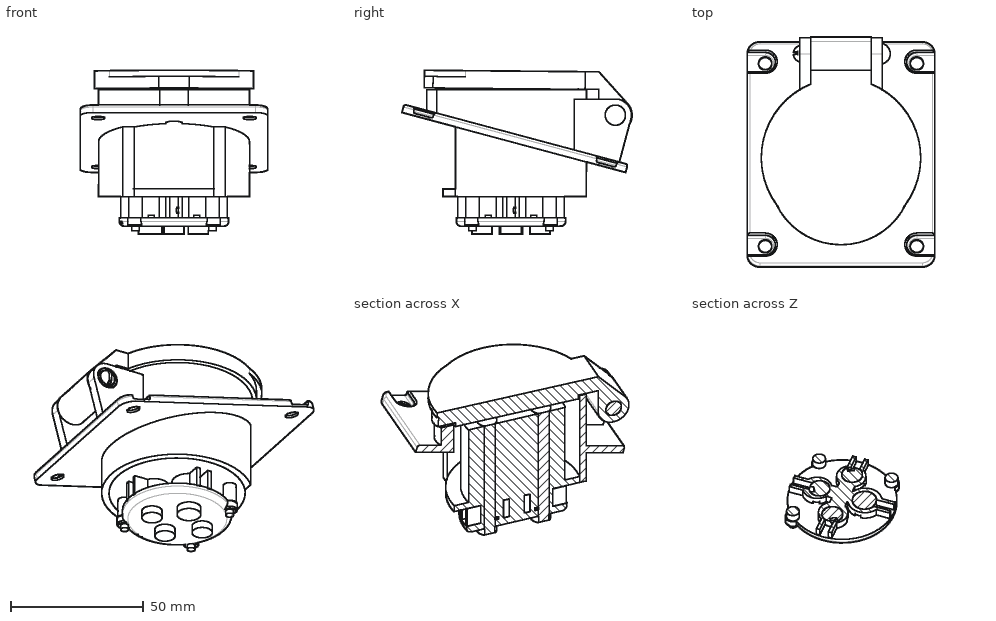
import cadquery as cq
import math


barrel_radius = 28.5
barrel_wall = 2.8
bore_radius = barrel_radius - barrel_wall
barrel_top = 40.5
barrel_flat_y = -21.0
keyway_radius = 5.7
keyway_y = -26.1
keyway_wall = 2.6

flange_tilt = 15.0
flange_width = 71.0
flange_length = 87.5
flange_thickness = 3.2
flange_corner_radius = 4.9
flange_edge_fillet = 1.0
flange_center_y = 1.05
flange_center_z = 20.45
mount_hole_diameter = 5.0
mount_hole_x = 28.6
mount_hole_v = 35.8
mount_pocket_radius = 3.8
mount_pocket_floor = 1.0
mount_pocket_flare = 0.7
mount_pocket_fillet = 0.7

hinge_y = 39.4
hinge_z = 30.8
ear_inner_x = 11.4
ear_outer_x = 15.7
ear_radius = 6.1
leaf_radius = 6.35
pin_diameter = 6.1
pin_button_diameter = 7.7
pin_button_height = 3.0
pin_tip_height = 2.35
pin_slot_width = 1.05
pin_slot_depth = 1.7
pin_slot_angle = 7.0
tip_hole_diameter = 6.8
tip_recess_diameter = 8.35
tip_recess_depth = 0.6

lid_open_angle = 0.5
lid_radius = 30.1
lid_thickness = 6.7
lid_bottom = barrel_top
lid_top = lid_bottom + lid_thickness
lid_front_y = -32.9
lid_lip_thickness = 2.35
lid_lip_corner_x = 24.5
lid_bump_radius = 6.5
lid_plug_radius = 25.2
lid_plug_depth = 1.7

insert_radius = 20.0
insert_top = 36.55
insert_flange_thickness = 3.0
base_radius = 20.7
base_top = -8.0
base_thickness = 3.2
base_bottom = base_top - base_thickness
base_fillet = 2.0
rib_reach = 20.2
rib_width = 6.3
rib_slot_width = 3.3
undercut_size = 19.5
undercut_inner_size = 14.8
undercut_height = 1.0
post_offset = 14.5
post_diameter = 5.0
lobe_diameter = 5.7
lobe_chamfer = 0.5
lobe_rise = 0.1
peg_diameter = 3.0
peg_length = 1.65
post_places = [
    (-post_offset, -post_offset),
    (post_offset, -post_offset),
    (post_offset, post_offset),
]

line_contact_diameter = 7.7
earth_contact_diameter = 9.0
contact_bottom = -14.1
line_boss_radius = 5.65
earth_boss_radius = 6.5
boss_reach = 15.7
terminal_hole_diameter = 2.4
terminal_hole_depth = 1.7
terminal_hole_angle = 30.0
terminal_hole_z = -5.1
line_contact_places = [(0, 9.1), (90, 11.0), (270, 11.0)]
earth_contact_place = (180, 9.0)


def disk(radius, bottom, top, x=0, y=0):
    """Upright cylinder between two heights."""
    return cq.Workplane("XY", origin=(x, y, bottom)).circle(radius).extrude(top - bottom)


def x_cylinder(radius, x_start, x_end):
    """Cylinder along the hinge axis."""
    return cq.Workplane("YZ", origin=(x_start, hinge_y, hinge_z)).circle(radius).extrude(x_end - x_start)


def on_slope(body):
    """Move a body from the XY plane onto the slope of the flange."""
    tilted = body.rotate((0, 0, 0), (1, 0, 0), -flange_tilt)
    return tilted.translate((0, flange_center_y, flange_center_z))


def mount_pocket():
    """Open-ended pocket with a flared rim, its round end centred on the origin, running out along +X."""
    reach = 2 * (flange_width / 2 - mount_hole_x)

    def slot(radius, bottom):
        return (
            cq.Workplane("XY", origin=(0, 0, bottom))
            .moveTo(reach, radius)
            .lineTo(0, radius)
            .threePointArc((-radius, 0), (0, -radius))
            .lineTo(reach, -radius)
            .close()
        )

    depth = flange_thickness - mount_pocket_floor
    body = slot(mount_pocket_radius, mount_pocket_floor).extrude(depth)
    body = body.faces("<Z").edges().fillet(mount_pocket_fillet)
    flare = slot(mount_pocket_radius, flange_thickness - mount_pocket_flare).extrude(mount_pocket_flare, taper=-45)
    return body.union(flare)


def make_flange():
    flange = (
        cq.Workplane("XY")
        .rect(flange_width, flange_length)
        .extrude(flange_thickness)
        .edges("|Z").fillet(flange_corner_radius)
        .faces(">Z").edges().fillet(flange_edge_fillet)
    )
    for side, turn in ((1, 0), (-1, 180)):
        for end in (1, -1):
            place = (side * mount_hole_x, end * mount_hole_v, 0)
            pocket = mount_pocket().rotate((0, 0, 0), (0, 0, 1), turn)
            hole = disk(mount_hole_diameter / 2, 0, flange_thickness)
            flange = flange.cut(pocket.union(hole).translate(place))
    return on_slope(flange)


def make_ear(x_start):
    """Hinge ear; its back edge stands square to the flange and its front runs into the barrel."""
    slope = math.radians(flange_tilt)
    back_y = hinge_y + ear_radius * math.cos(slope)
    back_z = hinge_z - ear_radius * math.sin(slope)
    arc_angle = math.radians((90 - flange_tilt) / 2)
    arc_mid = (hinge_y + ear_radius * math.cos(arc_angle), hinge_z + ear_radius * math.sin(arc_angle))
    front_y = math.sqrt(bore_radius**2 - ear_outer_x**2)
    root_z = flange_center_z + flange_thickness / 2

    def root_height(y):
        return root_z - (y - flange_center_y) * math.tan(slope)

    drop = (back_z - root_height(back_y)) * math.cos(slope)
    foot = (back_y - drop * math.sin(slope), back_z - drop * math.cos(slope))
    return (
        cq.Workplane("YZ", origin=(x_start, 0, 0))
        .moveTo(front_y, hinge_z + ear_radius)
        .lineTo(hinge_y, hinge_z + ear_radius)
        .threePointArc(arc_mid, (back_y, back_z))
        .lineTo(*foot)
        .lineTo(front_y, root_height(front_y))
        .close()
        .extrude(ear_outer_x - ear_inner_x)
    )


def make_housing():
    size = 2 * flange_length
    below_flange = on_slope(cq.Workplane("XY").box(size, size, size).translate((0, 0, -size / 2)))
    before_flat = cq.Workplane("XY").box(size, size, size).translate((0, barrel_flat_y - size / 2, 0))
    barrel = disk(barrel_radius, 0, barrel_top).union(disk(keyway_radius, 0, barrel_top, y=keyway_y))
    barrel = barrel.cut(below_flange.intersect(before_flat))

    housing = barrel.union(make_flange())
    for x_start in (-ear_outer_x, ear_inner_x):
        housing = housing.union(make_ear(x_start))

    bore = disk(bore_radius, 0, barrel_top)
    keyway = disk(keyway_radius - keyway_wall, 0, barrel_top, y=keyway_y)
    housing = housing.cut(bore).cut(keyway)

    housing = housing.cut(x_cylinder(pin_diameter / 2, ear_inner_x, ear_outer_x))
    housing = housing.cut(x_cylinder(tip_hole_diameter / 2, -ear_outer_x, -ear_inner_x))
    return housing.cut(x_cylinder(tip_recess_diameter / 2, -ear_outer_x, tip_recess_depth - ear_outer_x))


def make_hinge_leaf():
    """Arm from the lid's back edge down around the pin; its sloping back is tangent to the knuckle."""
    front_y = hinge_y - leaf_radius
    rise = lid_top - hinge_z
    half_angle = math.atan2(leaf_radius, rise)
    back_angle = 2 * half_angle
    back = (hinge_y + leaf_radius * math.cos(back_angle), hinge_z + leaf_radius * math.sin(back_angle))
    bottom = (hinge_y, hinge_z - leaf_radius)
    arc_angle = (back_angle - math.pi / 2) / 2
    arc_mid = (hinge_y + leaf_radius * math.cos(arc_angle), hinge_z + leaf_radius * math.sin(arc_angle))
    lower_angle = math.radians(225)
    lower_mid = (hinge_y + leaf_radius * math.cos(lower_angle), hinge_z + leaf_radius * math.sin(lower_angle))
    return (
        cq.Workplane("YZ", origin=(-ear_inner_x, 0, 0))
        .moveTo(0, lid_top)
        .lineTo(front_y, lid_top)
        .lineTo(*back)
        .threePointArc(arc_mid, bottom)
        .threePointArc(lower_mid, (front_y, hinge_z))
        .lineTo(front_y, lid_bottom)
        .lineTo(0, lid_bottom)
        .close()
        .extrude(2 * ear_inner_x)
    )


def make_lid():
    lid = disk(lid_radius, lid_bottom, lid_top)
    lid = lid.union(disk(lid_bump_radius, lid_bottom, lid_top, y=lid_front_y + lid_bump_radius))
    lip_corner_y = -math.sqrt(lid_radius**2 - lid_lip_corner_x**2)
    lip = (
        cq.Workplane("XY", origin=(0, 0, lid_top - lid_lip_thickness))
        .moveTo(-lid_lip_corner_x, lip_corner_y)
        .threePointArc((0, lid_front_y), (lid_lip_corner_x, lip_corner_y))
        .close()
        .extrude(lid_lip_thickness)
    )
    plug = disk(lid_plug_radius, lid_bottom - lid_plug_depth, lid_bottom)
    lid = lid.union(lip).union(plug).union(make_hinge_leaf())
    lid = lid.cut(x_cylinder(pin_diameter / 2, -ear_inner_x, ear_inner_x))
    return lid.rotate((0, hinge_y, hinge_z), (1, hinge_y, hinge_z), -lid_open_angle)


def dome_middle(radius, height):
    """Point on a spherical cap midway from rim to crown: (distance above the rim plane, distance off the axis)."""
    sphere = (radius**2 + height**2) / (2 * height)
    half_angle = math.asin(radius / sphere) / 2
    return height - sphere * (1 - math.cos(half_angle)), sphere * math.sin(half_angle)


def make_pin():
    """Hinge pin with a round button on +X and a slotted domed tip on -X."""
    radius = pin_diameter / 2
    button_radius = pin_button_diameter / 2
    tip_x = -ear_outer_x - pin_tip_height
    tip_along, tip_out = dome_middle(radius, pin_tip_height)
    button_along, button_out = dome_middle(button_radius, pin_button_height)
    pin = (
        cq.Workplane("XY")
        .moveTo(tip_x, 0)
        .threePointArc((-ear_outer_x - tip_along, tip_out), (-ear_outer_x, radius))
        .lineTo(ear_outer_x, radius)
        .lineTo(ear_outer_x, button_radius)
        .threePointArc((ear_outer_x + button_along, button_out), (ear_outer_x + pin_button_height, 0))
        .close()
        .revolve(360, (0, 0, 0), (1, 0, 0))
    )
    slot = (
        cq.Workplane("XY")
        .box(2 * pin_slot_depth, pin_slot_width, 2 * pin_diameter)
        .translate((tip_x, 0, 0))
        .rotate((0, 0, 0), (1, 0, 0), -pin_slot_angle)
    )
    return pin.cut(slot).translate((0, hinge_y, hinge_z))


def turned(body, angle):
    """Turn a body about the barrel axis."""
    return body.rotate((0, 0, 0), (0, 0, 1), angle)


def make_base():
    """Round base of the insert, with a lobe and a peg under each post."""
    base = disk(base_radius, base_bottom, base_top).faces("<Z").edges().fillet(base_fillet)
    base = turned(base, 135)
    lobe_bottom = base_bottom + lobe_rise
    for x, y in post_places:
        lobe = disk(lobe_diameter / 2, lobe_bottom, base_top, x, y).faces("<Z").edges().chamfer(lobe_chamfer)
        base = base.union(lobe)
    for x, y in post_places:
        base = base.union(disk(post_diameter / 2, base_top, 0, x, y))
        base = base.union(disk(peg_diameter / 2, base_bottom - peg_length, base_top, x, y))
    return base


def make_insert():
    line_bosses = [(angle, line_boss_radius) for angle, _ in line_contact_places]
    bosses = line_bosses + [(earth_contact_place[0], earth_boss_radius)]
    rib_height = -base_top
    slot_start = boss_reach - line_boss_radius

    core = disk(insert_radius, 0, insert_top)
    core = core.union(disk(bore_radius, 0, insert_flange_thickness))
    for angle, radius in bosses:
        boss = disk(radius, base_top, 0, boss_reach - radius)
        rib = cq.Workplane("XY").box(rib_reach, rib_width, rib_height, centered=(False, True, False))
        core = core.union(turned(boss.union(rib.translate((0, 0, base_top))), angle))
    for angle, _ in bosses:
        slot = cq.Workplane("XY").box(rib_reach, rib_slot_width, rib_height, centered=(False, True, False))
        core = core.cut(turned(slot.translate((slot_start, 0, base_top)), angle))
    undercut = (
        cq.Workplane("XY", origin=(0, 0, base_top))
        .rect(undercut_size, undercut_size)
        .rect(undercut_inner_size, undercut_inner_size)
        .extrude(undercut_height)
    )
    core = core.cut(undercut)

    insert = core.union(make_base())
    contact_holes = [(place, line_contact_diameter) for place in line_contact_places]
    contact_holes.append((earth_contact_place, earth_contact_diameter))
    for (angle, distance), diameter in contact_holes:
        insert = insert.cut(turned(disk(diameter / 2, base_bottom, insert_top, distance), angle))
    return insert


def make_line_contact(angle, distance):
    """Contact rod with a blind terminal hole in its side."""
    radius = line_contact_diameter / 2
    hole = (
        cq.Workplane("YZ", origin=(radius - terminal_hole_depth, 0, terminal_hole_z))
        .circle(terminal_hole_diameter / 2)
        .extrude(2 * terminal_hole_depth)
    )
    contact = disk(radius, contact_bottom, insert_top).cut(turned(hole, terminal_hole_angle))
    return turned(contact.translate((distance, 0, 0)), angle)


def make_earth_contact():
    angle, distance = earth_contact_place
    return turned(disk(earth_contact_diameter / 2, contact_bottom, insert_top, distance), angle)


housing = make_housing()
lid = make_lid()
hinge_pin = make_pin()
insert = make_insert()
earth_contact = make_earth_contact()
line_contacts = [make_line_contact(angle, distance) for angle, distance in line_contact_places]

result = cq.Compound.makeCompound([
    housing.val(),
    lid.val(),
    hinge_pin.val(),
    insert.val(),
    earth_contact.val(),
    *[contact.val() for contact in line_contacts],
])